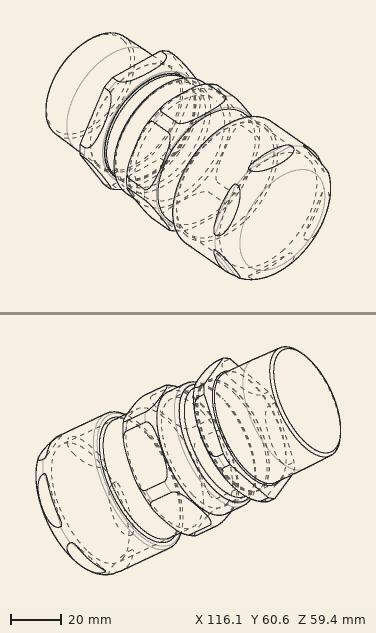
import cadquery as cq
import math

overall_length = 116.1

across_flats = 54.9
hex_corner_radius = 30.3

thread_radius = 24.2
tube_radius = 23.9
tube_tip_radius = 23.8
tube_face_radius = 22.5
tip_chamfer_length = 1.0
taper_end = 14.0

locknut_start = 28.8
locknut_end = 36.6
locknut_rounding = 5.1
locknut_lip_length = 0.6
locknut_lip_height = 0.6
locknut_foot_fillet = 1.0

collar_start = 44.7
collar_radius = 54.0 / 2
collar_rounding = 1.3
collar_lip_length = 1.4
collar_lip_height = 1.5
body_hex_start = 54.7
body_hex_end = 70.7
body_hex_rounding = 3.4
neck_radius = 52.1 / 2

cap_start = 83.0
cap_radius = 29.7
cap_front_rounding = 1.0
cap_end_rounding = 7.0
cap_lip_length = 1.0
cap_lip_height = 1.0
cap_flats_start = 107.7
cap_flats_fillet = 1.0


def revolve_profile(profile):
    """Turn a closed X-radius profile around the X axis."""
    return profile.close().revolve(360, (0, 0, 0), (1, 0, 0))


def cylinder(start, end, radius):
    return cq.Workplane("YZ", origin=(start, 0, 0)).circle(radius).extrude(end - start)


def hexagon_prism(start, end):
    """Hexagonal prism with two flats facing +Z and -Z."""
    corner_diameter = across_flats / math.cos(math.pi / 6)
    return cq.Workplane("YZ", origin=(start, 0, 0)).polygon(6, corner_diameter).extrude(end - start)


def conical_lip(start, end, start_radius, end_radius):
    return revolve_profile(
        cq.Workplane("XY")
        .moveTo(start, 0)
        .lineTo(start, start_radius)
        .lineTo(end, end_radius)
        .lineTo(end, 0)
    )


def make_entry_tube():
    """Tube with a chamfered, tapered tip and a plain thread; its inner end seats in the collar."""
    return revolve_profile(
        cq.Workplane("XY")
        .moveTo(0, 0)
        .lineTo(0, tube_face_radius)
        .lineTo(tip_chamfer_length, tube_tip_radius)
        .lineTo(taper_end, thread_radius)
        .lineTo(locknut_end, thread_radius)
        .lineTo(locknut_end, tube_radius)
        .lineTo(body_hex_start, tube_radius)
        .lineTo(body_hex_start, 0)
    )


def make_locknut():
    """Hexagon nut rounded on its +X side, with a conical lip in front and a concave foot behind."""
    turned_blank = cylinder(locknut_start, locknut_end, hex_corner_radius)
    turned_blank = turned_blank.faces(">X").edges().fillet(locknut_rounding)
    nut = turned_blank.intersect(hexagon_prism(locknut_start, locknut_end))

    lip_start = locknut_start - locknut_lip_length
    lip_radius = thread_radius + locknut_lip_height
    lip = conical_lip(lip_start, locknut_start, thread_radius, lip_radius)

    foot_end = locknut_end + locknut_foot_fillet
    foot = revolve_profile(
        cq.Workplane("XY")
        .moveTo(locknut_end, 0)
        .lineTo(locknut_end, tube_radius + locknut_foot_fillet)
        .radiusArc((foot_end, tube_radius), -locknut_foot_fillet)
        .lineTo(foot_end, 0)
    )

    thread_bore = cylinder(lip_start, locknut_end, thread_radius)
    foot_bore = cylinder(locknut_end, foot_end, tube_radius)
    return nut.union(lip).union(foot).cut(thread_bore).cut(foot_bore)


def make_main_body():
    """Collar, hexagon and neck, with a socket in the collar for the entry tube."""
    collar = cylinder(collar_start, body_hex_start, collar_radius)
    collar = collar.faces("<X").edges().fillet(collar_rounding)
    lip_start = collar_start - collar_lip_length
    lip = conical_lip(lip_start, collar_start, tube_radius, tube_radius + collar_lip_height)

    turned_blank = cylinder(body_hex_start, body_hex_end, hex_corner_radius)
    turned_blank = turned_blank.faces("<X or >X").edges().fillet(body_hex_rounding)
    hexagon = turned_blank.intersect(hexagon_prism(body_hex_start, body_hex_end))

    neck = cylinder(body_hex_end, cap_flats_start, neck_radius)
    socket = cylinder(lip_start, body_hex_start, tube_radius)
    return collar.union(lip).union(hexagon).union(neck).cut(socket)


def make_flat_cutter():
    """Block that mills one flat, rounded along its inner edge to fillet the foot of the flat."""
    length = overall_length - cap_flats_start
    block = cq.Workplane("XY", origin=(cap_flats_start, 0, across_flats / 2)).box(
        length, 2 * cap_radius, cap_radius, centered=(False, True, False)
    )
    return block.edges("<X and <Z").fillet(cap_flats_fillet)


def make_cap():
    """Round cap with six flats on its rounded end and a blind bore for the neck."""
    cap = cylinder(cap_start, overall_length, cap_radius)
    cap = cap.faces("<X").edges().fillet(cap_front_rounding)
    cap = cap.faces(">X").edges().fillet(cap_end_rounding)

    for index in range(6):
        cap = cap.cut(make_flat_cutter().rotate((0, 0, 0), (1, 0, 0), 60 * index))

    lip_start = cap_start - cap_lip_length
    cap = cap.union(conical_lip(lip_start, cap_start, neck_radius, neck_radius + cap_lip_height))
    return cap.cut(cylinder(lip_start, cap_flats_start, neck_radius))


entry_tube = make_entry_tube()
locknut = make_locknut()
main_body = make_main_body()
cap = make_cap()

result = cq.Compound.makeCompound([entry_tube.val(), locknut.val(), main_body.val(), cap.val()])